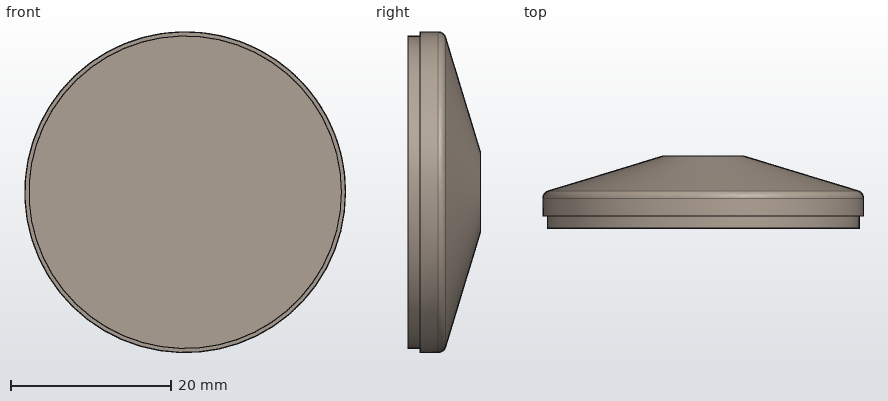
import cadquery as cq

rim_radius = 20.0
height = 9.05
spigot_radius = 19.5
spigot_depth = 1.5
crown_flat_radius = 5.0
cone_base = 4.5
rim_fillet = 1.0
edge_search_margin = 0.4

spigot = cq.Workplane("XZ").circle(spigot_radius).extrude(-spigot_depth)

body = (
    cq.Workplane("XY")
    .moveTo(0, spigot_depth)
    .lineTo(rim_radius, spigot_depth)
    .lineTo(rim_radius, cone_base)
    .lineTo(crown_flat_radius, height)
    .lineTo(0, height)
    .close()
    .revolve(360, (0, 0, 0), (0, 1, 0))
)

cone_edge = cq.selectors.BoxSelector(
    (-2 * rim_radius, cone_base - edge_search_margin, -2 * rim_radius),
    (2 * rim_radius, cone_base + edge_search_margin, 2 * rim_radius),
    boundingbox=True,
)
body = body.edges(cone_edge).fillet(rim_fillet)

result = body.union(spigot)